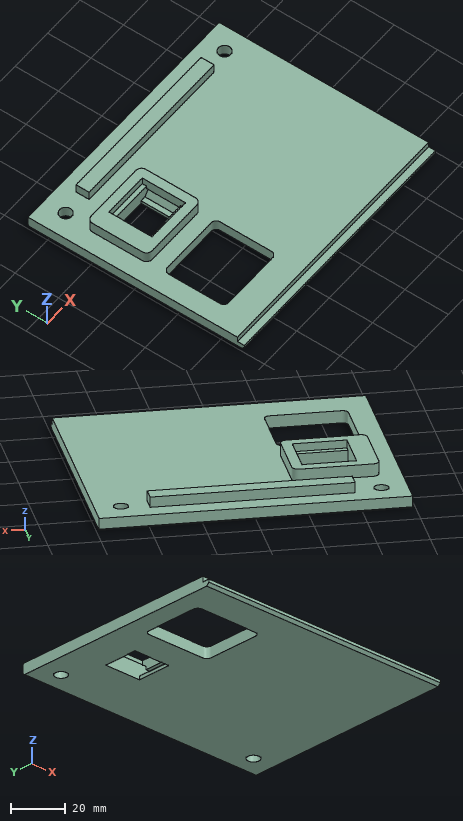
import cadquery as cq

plate_length = 117.83
plate_width = 100.0
plate_thickness = 5.0

front_lip_depth = 3.2
front_lip_thickness = plate_thickness / 2
front_chamfer = 1.2
back_chamfer = 0.7

hole_diameter = 5.5
hole_inset = 10.0
hole_y = plate_width - hole_inset

rib_length = 77.0
rib_width = 6.0
rib_height = 4.1

boss_length = 32.7
boss_width = 28.1
boss_height = 5.0
boss_corner_radius = 2.6
boss_center_x = 24.9
boss_center_y = plate_width - 35.0
top_z = plate_thickness + boss_height

window_spacing = 35.0
window_length = 31.5
window_width = 28.2
window_corner_radius = 2.2
window_center_x = 25.0
window_center_y = boss_center_y - window_spacing

socket_left_x = 16.6
recess_length = 20.5
recess_width = 19.9
recess_depth = 3.2
recess_floor_z = top_z - recess_depth
shaft_width = 15.7
shaft_center_y = boss_center_y + 0.1
shaft_opening_length = 17.1

ledge_z = 1.6
ledge_depth = 2.4
slope_run = 2.9
catch_bottom_z = 5.4


def make_plate():
    """Plate with the stepped front edge and the two mounting holes."""
    profile = [
        (front_chamfer, 0),
        (plate_width - back_chamfer, 0),
        (plate_width, back_chamfer),
        (plate_width, plate_thickness),
        (front_lip_depth, plate_thickness),
        (front_lip_depth, front_lip_thickness),
        (0, front_lip_thickness),
        (0, front_chamfer),
    ]
    plate = cq.Workplane("YZ").polyline(profile).close().extrude(plate_length)
    hole_centers = [(hole_inset, hole_y), (plate_length - hole_inset, hole_y)]
    holes = cq.Workplane("XY").pushPoints(hole_centers).circle(hole_diameter / 2).extrude(plate_thickness)
    return plate.cut(holes)


def make_rib():
    """Straight rib on top of the plate, centered along its length."""
    rib = cq.Workplane("XY").box(rib_length, rib_width, rib_height, centered=(True, True, False))
    return rib.translate((plate_length / 2, hole_y, plate_thickness))


def rounded_block(length, width, height, corner_radius):
    """Block standing on Z = 0, centered in X and Y, with rounded vertical edges."""
    block = cq.Workplane("XY").box(length, width, height, centered=(True, True, False))
    return block.edges("|Z").fillet(corner_radius)


def make_boss():
    boss = rounded_block(boss_length, boss_width, boss_height, boss_corner_radius)
    return boss.translate((boss_center_x, boss_center_y, plate_thickness))


def make_window():
    """Solid that cuts the rounded window through the plate."""
    window = rounded_block(window_length, window_width, plate_thickness, window_corner_radius)
    return window.translate((window_center_x, window_center_y, 0))


def make_socket():
    """Solid with the shape of the empty space inside the socket."""
    recess = cq.Workplane("XY").box(recess_length, recess_width, recess_depth, centered=(False, True, False))
    recess = recess.translate((socket_left_x, boss_center_y, recess_floor_z))

    opening_right_x = socket_left_x + shaft_opening_length
    ledge_right_x = opening_right_x + ledge_depth
    catch_x = socket_left_x + recess_length
    shaft_profile = [
        (socket_left_x, 0),
        (opening_right_x, 0),
        (opening_right_x, ledge_z),
        (ledge_right_x, ledge_z),
        (ledge_right_x + slope_run, catch_bottom_z),
        (catch_x, catch_bottom_z),
        (catch_x, recess_floor_z),
        (socket_left_x, recess_floor_z),
    ]
    shaft = cq.Workplane("XZ").polyline(shaft_profile).close().extrude(shaft_width / 2, both=True)
    return recess.union(shaft.translate((0, shaft_center_y, 0)))


body = make_plate().union(make_rib()).union(make_boss())
result = body.cut(make_window()).cut(make_socket())